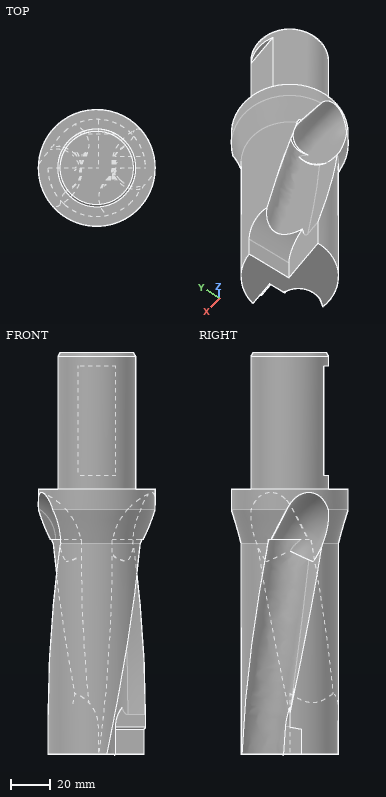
import cadquery as cq
import math

SHANK_DIAMETER = 40.0
SHANK_LENGTH = 70.0
SHANK_CHAMFER_WIDTH = 1.2
SHANK_CHAMFER_HEIGHT = 2.0
FLAT_DEPTH = 2.5
FLAT_END_LAND = 7.0

FLANGE_DIAMETER = 60.0
FLANGE_HEIGHT = 10.6
CONE_BOTTOM_Z = -28.0
BODY_DIAMETER = 50.0
BODY_LENGTH = 136.0

FLUTE_TWIST_RATE = 0.475
FLUTE_LEVEL_Z = -115.7
FLUTE_TOP_Z = -26.0
FLUTE_WALL_INNER_RADIUS = 16.0
FLUTE_CHANNEL_RADIUS = 12.6

RUNOUT_START_Z = -32.0
RUNOUT_END_Z = -2.5
RUNOUT_CENTRE_TURN = 4.0
RUNOUT_TILT = 26.0

POCKET_FLAT_HEIGHT = 14.2
INNER_POCKET_FLOOR = -0.8
INNER_POCKET_ARC_RADIUS = 18.0
OUTER_POCKET_FLOOR = 9.6
OUTER_POCKET_ARC_RADIUS = 15.8

SEAT_DEPTH = 5.9
SEAT_HEIGHT = 12.8
SEAT_BEVEL_HEIGHT = 1.1

NIB_X = 9.2
NIB_Y = -3.4
NIB_RADIUS = 0.3
NIB_HEIGHT = 0.57

CLEARANCE = 10.0

body_radius = BODY_DIAMETER / 2
flange_radius = FLANGE_DIAMETER / 2
shank_radius = SHANK_DIAMETER / 2
outside_radius = flange_radius + CLEARANCE


def make_blank():
    """Turned shape: chamfered shank, flange, cone and cylindrical body."""
    return (
        cq.Workplane("XZ")
        .moveTo(0, SHANK_LENGTH)
        .lineTo(shank_radius - SHANK_CHAMFER_WIDTH, SHANK_LENGTH)
        .lineTo(shank_radius, SHANK_LENGTH - SHANK_CHAMFER_HEIGHT)
        .lineTo(shank_radius, 0)
        .lineTo(flange_radius, 0)
        .lineTo(flange_radius, -FLANGE_HEIGHT)
        .lineTo(body_radius, CONE_BOTTOM_Z)
        .lineTo(body_radius, -BODY_LENGTH)
        .lineTo(0, -BODY_LENGTH)
        .close()
        .revolve(360, (0, 0, 0), (0, 1, 0))
    )


def make_shank_flat():
    """Clamping flat on the +Y side, with a land left at each end."""
    length = SHANK_LENGTH - 2 * FLAT_END_LAND
    return (
        cq.Workplane("XY")
        .box(SHANK_DIAMETER, FLAT_DEPTH, length, centered=(True, False, False))
        .translate((0, shank_radius - FLAT_DEPTH, FLAT_END_LAND))
    )


def make_flute():
    """Twisted channel on the -X side: a flat wall tangent to a round floor."""
    height = FLUTE_TOP_Z + BODY_LENGTH
    start_turn = FLUTE_TWIST_RATE * (FLUTE_LEVEL_Z + BODY_LENGTH)
    channel_width = 2 * FLUTE_CHANNEL_RADIUS
    channel = (
        cq.Workplane("XY")
        .moveTo(-outside_radius, 0)
        .lineTo(-FLUTE_WALL_INNER_RADIUS, 0)
        .threePointArc(
            (FLUTE_CHANNEL_RADIUS - FLUTE_WALL_INNER_RADIUS, FLUTE_CHANNEL_RADIUS),
            (-FLUTE_WALL_INNER_RADIUS, channel_width),
        )
        .lineTo(-outside_radius, channel_width)
        .close()
        .twistExtrude(height, FLUTE_TWIST_RATE * height)
    )
    return channel.rotate((0, 0, 0), (0, 0, 1), -start_turn).translate((0, 0, -BODY_LENGTH))


def make_runout():
    """Ring-shaped scoop that continues the flute channel and rises to the flange rim."""
    centre_radius = math.hypot(FLUTE_WALL_INNER_RADIUS, FLUTE_CHANNEL_RADIUS)
    rise = (RUNOUT_END_Z - RUNOUT_START_Z) / math.cos(math.radians(RUNOUT_TILT))
    depth = flange_radius - centre_radius + FLUTE_CHANNEL_RADIUS
    floor_arc_radius = (depth**2 + rise**2) / (2 * depth)
    axis_offset = floor_arc_radius - FLUTE_CHANNEL_RADIUS
    scoop = (
        cq.Workplane("XY")
        .moveTo(-axis_offset, -FLUTE_CHANNEL_RADIUS)
        .lineTo(0, -FLUTE_CHANNEL_RADIUS)
        .threePointArc((FLUTE_CHANNEL_RADIUS, 0), (0, FLUTE_CHANNEL_RADIUS))
        .lineTo(-axis_offset, FLUTE_CHANNEL_RADIUS)
        .close()
        .revolve(90, (-axis_offset, 0, 0), (-axis_offset, -1, 0))
        .rotate((0, 0, 0), (1, 0, 0), RUNOUT_TILT)
        .translate((-centre_radius, 0, RUNOUT_START_Z))
    )
    return scoop.rotate((0, 0, 0), (0, 0, 1), RUNOUT_CENTRE_TURN)


def make_pocket(floor, arc_radius):
    """Pocket on the -X, +Y quarter of the tip; its floor curves outwards at the top."""
    flat_top_z = POCKET_FLAT_HEIGHT - BODY_LENGTH
    arc_top_z = flat_top_z + arc_radius
    arc_centre_x = -floor - arc_radius
    half = math.sqrt(0.5) * arc_radius
    return (
        cq.Workplane("XZ")
        .moveTo(-floor, -BODY_LENGTH)
        .lineTo(-floor, flat_top_z)
        .threePointArc((arc_centre_x + half, flat_top_z + half), (arc_centre_x, arc_top_z))
        .lineTo(-outside_radius, arc_top_z)
        .lineTo(-outside_radius, -BODY_LENGTH)
        .close()
        .extrude(-outside_radius)
    )


def make_seat():
    """Recess behind the +X pocket wall."""
    return (
        cq.Workplane("YZ")
        .moveTo(0, -BODY_LENGTH)
        .lineTo(SEAT_DEPTH, -BODY_LENGTH)
        .lineTo(SEAT_DEPTH, SEAT_HEIGHT - BODY_LENGTH)
        .lineTo(0, SEAT_HEIGHT + SEAT_BEVEL_HEIGHT - BODY_LENGTH)
        .close()
        .extrude(outside_radius - OUTER_POCKET_FLOOR)
        .translate((OUTER_POCKET_FLOOR, 0, 0))
    )


def make_nib():
    """Cone pointing down, rooted in the tip face."""
    base = cq.Vector(NIB_X, NIB_Y, -BODY_LENGTH)
    cone = cq.Solid.makeCone(NIB_RADIUS, 0, NIB_HEIGHT, base, cq.Vector(0, 0, -1))
    return cq.Workplane(cone)


def half_turn(shape):
    """Carry a shape to the opposite side of the axis."""
    return shape.rotate((0, 0, 0), (0, 0, 1), 180)


result = make_blank().cut(make_shank_flat())
for cutter in (make_flute(), make_runout()):
    result = result.cut(cutter).cut(half_turn(cutter))
result = result.cut(make_pocket(INNER_POCKET_FLOOR, INNER_POCKET_ARC_RADIUS))
result = result.cut(half_turn(make_pocket(OUTER_POCKET_FLOOR, OUTER_POCKET_ARC_RADIUS)))
result = result.cut(make_seat())
result = result.union(make_nib())